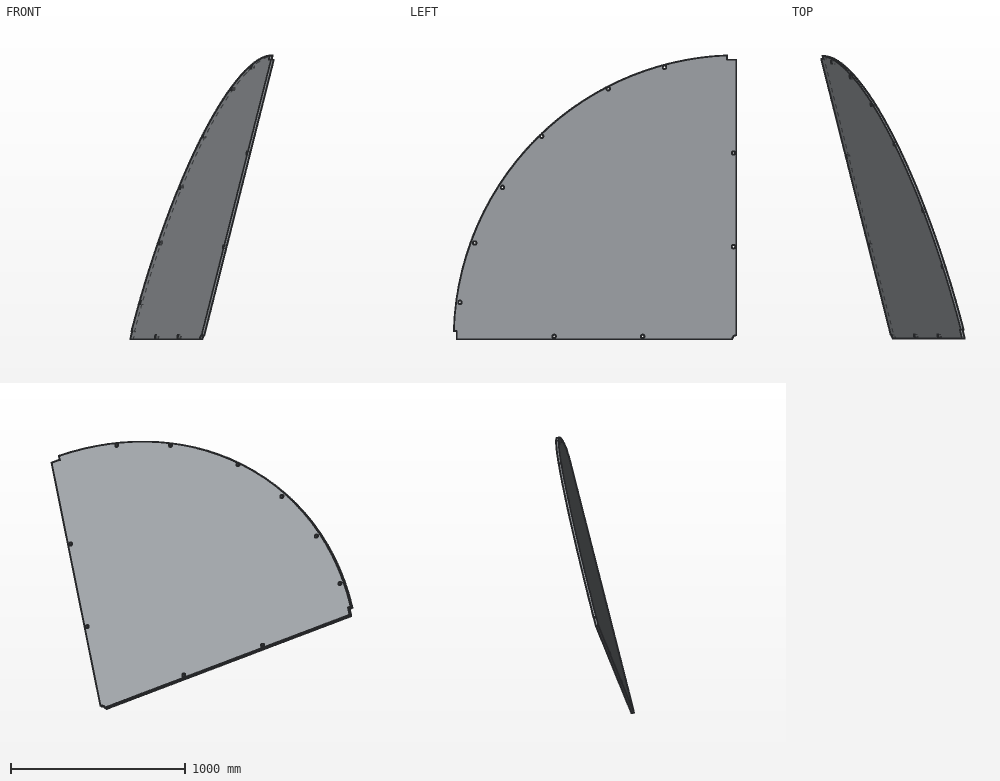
import cadquery as cq
import math

slope = 0.252
thickness_x = 16.0
edge_length = 1603.0
arc_radius = 1629.0
arc_center_y = -8.0
top_notch_width = 52.0
back_notch_height = 47.0
corner_relief_radius = 23.0

hole_diameter = 20.0
edge_hole_inset = 16.0
bottom_hole_places = (537.0, 1045.0)
front_hole_places = (530.0, 1067.0)
upper_hole_radius = 1612.0
upper_hole_angles = (46.2, 62.9, 75.2)
lower_hole_radius = 1598.0
lower_hole_angles = (7.6, 20.2, 33.0)


def polar_point(radius, angle):
    """Y and Z at a radius from Y = Z = 0, turned up from +Y by an angle in degrees."""
    turn = math.radians(angle)
    return radius * math.cos(turn), radius * math.sin(turn)


def arc_point(angle):
    """Point on the outer arc, whose centre is offset along Y."""
    y, z = polar_point(arc_radius, angle)
    return y + arc_center_y, z


def make_outline_prism(length):
    """Quarter-disc outline with stepped arc ends, extruded along +X from X = 0."""
    back_end = arc_point(math.degrees(math.asin(back_notch_height / arc_radius)))
    top_end = arc_point(math.degrees(math.acos((top_notch_width - arc_center_y) / arc_radius)))
    relief_mid = corner_relief_radius * math.sqrt(0.5)
    return (
        cq.Workplane("YZ")
        .moveTo(corner_relief_radius, 0)
        .lineTo(edge_length, 0)
        .lineTo(edge_length, back_notch_height)
        .lineTo(*back_end)
        .threePointArc(arc_point(45), top_end)
        .lineTo(top_notch_width, edge_length)
        .lineTo(0, edge_length)
        .lineTo(0, corner_relief_radius)
        .threePointArc((relief_mid, relief_mid), (corner_relief_radius, 0))
        .close()
        .extrude(length)
    )


def make_slanted_slab(start_x):
    """Oversized slanted plate; at Y = Z = 0 it spans start_x to start_x + thickness_x."""
    normal = cq.Vector(1, slope, -slope)
    side = 4 * arc_radius
    near_face = cq.Plane(origin=(start_x, 0, 0), xDir=(slope, 0, 1), normal=normal)
    return cq.Workplane(near_face).rect(side, side).extrude(thickness_x / normal.Length)


def hole_places():
    """Y and Z of every hole centre."""
    places = [(y, edge_hole_inset) for y in bottom_hole_places]
    places += [(edge_hole_inset, z) for z in front_hole_places]
    places += [polar_point(upper_hole_radius, angle) for angle in upper_hole_angles]
    places += [polar_point(lower_hole_radius, angle) for angle in lower_hole_angles]
    return places


slab_start_x = slope * arc_radius
prism_length = 2 * slope * arc_radius + thickness_x

holes = (
    cq.Workplane("YZ")
    .pushPoints(hole_places())
    .circle(hole_diameter / 2)
    .extrude(prism_length)
)
result = make_outline_prism(prism_length).intersect(make_slanted_slab(slab_start_x)).cut(holes)